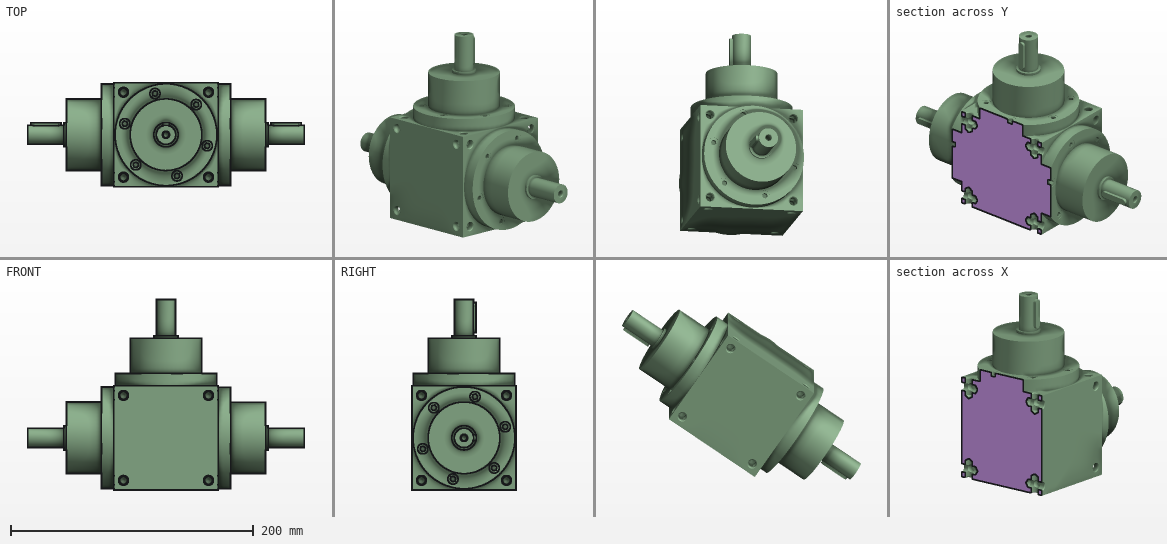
import cadquery as cq
import math

shaft_tip = 114.0
block_side = 86.0
tap_spacing = 70.0

flange_diameter = 84.0
flange_face = 53.1
boss_diameter = 59.0
boss_face = 82.0
collar_diameter = 20.0
collar_face = 84.1
shaft_diameter = 16.0

screw_count = 6
screw_circle_radius = 35.0
screw_head_diameter = 8.5
screw_head_recess = 0.2
socket_width = 4.0
socket_depth = 3.0

corner_tap_diameter = 6.5
corner_tap_mouth = 8.0
corner_tap_depth = 15.0
centre_tap_diameter = 5.0
centre_tap_mouth = 6.0
centre_tap_depth = 12.5
drill_point_angle = 118.0

key_width = 5.0
key_height = key_width
key_length = 25.0
key_end_gap = 2.5
key_top = collar_diameter / 2

shaft_units = [(0, 45), (-90, 15), (90, 45)]

x_axis = (1, 0, 0)
y_axis = (0, 1, 0)
face_turns = [(y_axis, 0), (y_axis, 90), (y_axis, 180), (y_axis, -90), (x_axis, 90), (x_axis, -90)]


def turned(shape, axis, angle):
    """Turn a shape about an axis through the gearbox centre."""
    return shape.rotate((0, 0, 0), axis, angle)


def disc(diameter, top):
    """Cylinder on the Z axis from the gearbox centre up to a height."""
    return cq.Workplane("XY").circle(diameter / 2).extrude(top)


def tapped_hole_cutter(diameter, mouth_diameter, depth, face):
    """Blind hole below a face height, with a 45-degree mouth and a drill point."""
    radius = diameter / 2
    mouth_radius = mouth_diameter / 2
    point_length = radius / math.tan(math.radians(drill_point_angle / 2))
    profile = (
        cq.Workplane("XZ")
        .moveTo(0, face)
        .lineTo(mouth_radius, face)
        .lineTo(radius, face - (mouth_radius - radius))
        .lineTo(radius, face - depth)
        .lineTo(0, face - depth - point_length)
        .close()
    )
    return profile.revolve(360, (0, 0, 0), (0, 1, 0))


def screw_cutter():
    """Sunken screw head and its hex socket, at the middle of the flange face."""
    head_top = flange_face - screw_head_recess
    recess = cq.Workplane("XY").workplane(offset=head_top).circle(screw_head_diameter / 2)
    socket_corners = socket_width / math.cos(math.radians(30))
    socket = cq.Workplane("XY").workplane(offset=head_top - socket_depth).polygon(6, socket_corners)
    return recess.extrude(screw_head_recess).union(socket.extrude(socket_depth))


def shaft_key():
    """Round-ended parallel key on the +Y side of an upright shaft."""
    middle = shaft_tip - key_end_gap - key_length / 2
    return (
        cq.Workplane("XZ", origin=(0, key_top, middle))
        .slot2D(key_length, key_width, 90)
        .extrude(key_height)
    )


def shaft_unit(first_screw_angle):
    """Flange, boss, collar and shaft standing on the Z axis, with its screws and centre hole."""
    unit = (
        disc(flange_diameter, flange_face)
        .union(disc(boss_diameter, boss_face))
        .union(disc(collar_diameter, collar_face))
        .union(disc(shaft_diameter, shaft_tip))
    )
    for i in range(screw_count):
        angle = first_screw_angle + i * 360 / screw_count
        screw = screw_cutter().translate((screw_circle_radius, 0, 0))
        unit = unit.cut(turned(screw, (0, 0, 1), angle))
    unit = unit.cut(tapped_hole_cutter(centre_tap_diameter, centre_tap_mouth, centre_tap_depth, shaft_tip))
    return unit.cut(shaft_key())


def corner_tap_cutters():
    """Four tapped holes in the corners of the top face of the block."""
    hole = tapped_hole_cutter(corner_tap_diameter, corner_tap_mouth, corner_tap_depth, block_side / 2)
    reach = tap_spacing / 2
    return [hole.translate((x, y, 0)) for x in (-reach, reach) for y in (-reach, reach)]


def gearbox_body():
    """Cubic block with a flanged shaft unit on the top, left and right sides."""
    body = cq.Workplane("XY").box(block_side, block_side, block_side)
    for axis, angle in face_turns:
        for hole in corner_tap_cutters():
            body = body.cut(turned(hole, axis, angle))
    for angle, first_screw_angle in shaft_units:
        body = body.union(turned(shaft_unit(first_screw_angle), y_axis, angle))
    return body


gearbox = gearbox_body()
keys = [turned(shaft_key(), y_axis, angle) for angle, _ in shaft_units]

result = cq.Compound.makeCompound([gearbox.val(), *[key.val() for key in keys]])